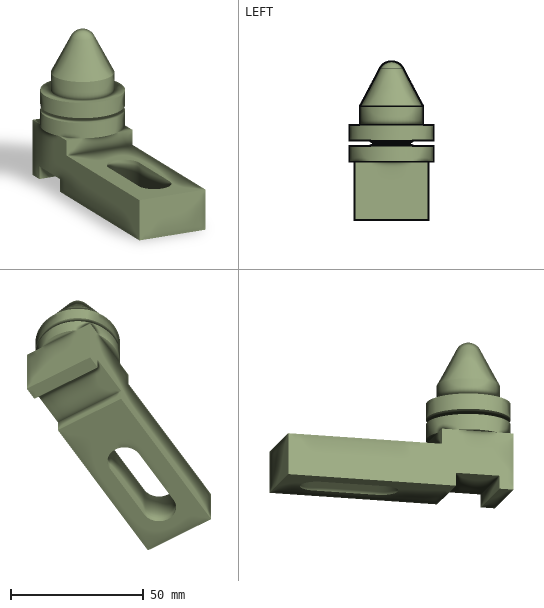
import cadquery as cq
import math

total_length = 90.0
total_height = 60.0

base_width = 28.0
head_height = 22.0
arm_height = 16.0

channel_width = 17.0
channel_depth = 5.0
channel_offset = 5.5

slot_length = 38.0
slot_width = 13.0
slot_end_margin = 8.5

flange_diameter = 32.0
flange_thickness = 6.0
flange_gap = 2.0

collar_diameter = 16.0
collar_height = 0.25
taper_height = 0.5
neck_diameter = 14.0

shank_diameter = 24.0
shank_height = 7.0
tip_radius = 5.0

flange_radius = flange_diameter / 2
collar_radius = collar_diameter / 2
neck_radius = neck_diameter / 2
head_end_x = -base_width / 2
arm_end_x = total_length - flange_radius
base_length = arm_end_x - head_end_x

joint_z = head_height + flange_thickness + flange_gap / 2


def block(x_start, length, height):
    """Box of the base width, standing on the base plane."""
    return (
        cq.Workplane("XY")
        .box(length, base_width, height, centered=(False, True, False))
        .translate((x_start, 0, 0))
    )


def add_half_neck(profile, flange_face_z, toward_joint):
    """Continue a profile from a flange face over the collar and taper to the joint, ending on the axis.

    toward_joint is +1 or -1, the Z direction from the flange face to the joint.
    """
    collar_z = flange_face_z + toward_joint * collar_height
    return (
        profile
        .lineTo(collar_radius, flange_face_z)
        .lineTo(collar_radius, collar_z)
        .lineTo(neck_radius, collar_z + toward_joint * taper_height)
        .lineTo(neck_radius, joint_z)
        .lineTo(0, joint_z)
    )


def turn(profile):
    """Close a profile drawn in the XZ plane and revolve it about the Z axis."""
    return profile.close().revolve(360, (0, 0, 0), (0, 1, 0))


def make_seat():
    """Round seat on the head: lower flange and lower half of the neck."""
    flange_top = head_height + flange_thickness
    profile = (
        cq.Workplane("XZ")
        .moveTo(0, head_height)
        .lineTo(flange_radius, head_height)
        .lineTo(flange_radius, flange_top)
    )
    return turn(add_half_neck(profile, flange_top, 0.9))


def make_base():
    """Stepped base with a round seat, a cross channel under the head and a slot through the arm."""
    head = block(head_end_x, base_width, head_height)
    arm = block(head_end_x, base_length, arm_height)
    channel = block(head_end_x + channel_offset, channel_width, channel_depth)
    slot_center_x = arm_end_x - slot_end_margin - slot_length / 2
    slot = (
        cq.Workplane("XY")
        .center(slot_center_x, 0)
        .slot2D(slot_length, slot_width)
        .extrude(arm_height)
    )
    return head.union(arm).union(make_seat()).cut(channel).cut(slot)


def make_pin():
    """Turned pin: upper half of the neck, flange, shank and a round-tipped cone."""
    flange_bottom = head_height + flange_thickness + flange_gap
    flange_top = flange_bottom + flange_thickness
    shank_top = flange_top + shank_height
    shank_radius = shank_diameter / 2

    tip_center_z = total_height - tip_radius
    rise = tip_center_z - shank_top
    cone_angle = math.atan2(shank_radius, rise) - math.asin(tip_radius / math.hypot(shank_radius, rise))
    tangent_radius = tip_radius * math.cos(cone_angle)
    tangent_z = tip_center_z + tip_radius * math.sin(cone_angle)
    tip_mid_angle = (cone_angle + math.pi / 2) / 2
    tip_mid_point = (
        tip_radius * math.cos(tip_mid_angle),
        tip_center_z + tip_radius * math.sin(tip_mid_angle),
    )

    profile = (
        cq.Workplane("XZ")
        .moveTo(0, total_height)
        .threePointArc(tip_mid_point, (tangent_radius, tangent_z))
        .lineTo(shank_radius, shank_top)
        .lineTo(shank_radius, flange_top)
        .lineTo(flange_radius, flange_top)
        .lineTo(flange_radius, flange_bottom)
    )
    return turn(add_half_neck(profile, flange_bottom, -0.9))


base = make_base()
pin = make_pin()

result = cq.Compound.makeCompound([base.val(), pin.val()])